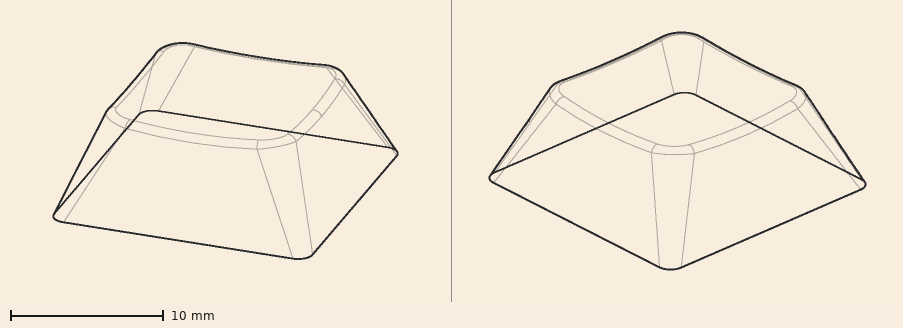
import cadquery as cq

base_width = 18.0
base_corner_radius = 1.0
blank_height = 7.0
blank_top_width = 12.65
blank_top_corner_radius = 2.1

dish_radius = 43.0
dish_floor_height = 6.03
rim_fillet_radius = 0.6


def rounded_square(width, corner_radius):
    """Square section with rounded corners, centred on the Z axis."""
    return cq.Sketch().rect(width, width).vertices().fillet(corner_radius)


def tapered_blank():
    """Solid frustum whose corner radius grows towards the top."""
    base = rounded_square(base_width, base_corner_radius)
    top = rounded_square(blank_top_width, blank_top_corner_radius)
    top_location = cq.Location(cq.Vector(0, 0, blank_height))
    return cq.Workplane("XY").placeSketch(base, top.moved(top_location)).loft()


def dish_cutter():
    """Sphere that scoops the shallow finger dish out of the top."""
    centre_height = dish_floor_height + dish_radius
    return cq.Workplane("XY").sphere(dish_radius).translate((0, 0, centre_height))


def round_rim(body):
    """Fillet the rim where the spherical dish meets the side walls."""
    return body.faces("%SPHERE").edges().fillet(rim_fillet_radius)


dished_body = tapered_blank().cut(dish_cutter())
result = round_rim(dished_body)